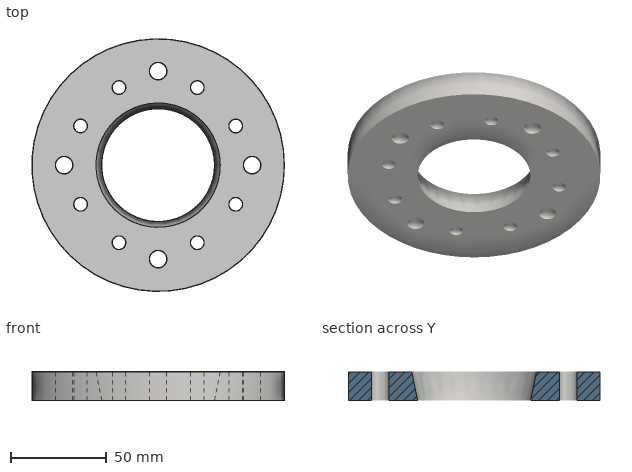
import cadquery as cq

outer_diameter = 132.0
thickness = 15.0

bore_top_diameter = 65.0
bore_bottom_diameter = 58.9

large_hole_diameter = 9.0
large_hole_circle = 98.2
large_hole_count = 4

small_hole_diameter = 7.0
small_hole_near = 20.5
small_hole_far = 40.5


def tapered_bore():
    """Cone frustum that cuts the central opening."""
    return (
        cq.Workplane("XY")
        .circle(bore_bottom_diameter / 2)
        .workplane(offset=thickness)
        .circle(bore_top_diameter / 2)
        .loft(ruled=True)
    )


def small_hole_points():
    """Centres of the small holes, mirrored across both axes and the diagonals."""
    points = []
    for x_sign in (-1, 1):
        for y_sign in (-1, 1):
            points.append((x_sign * small_hole_near, y_sign * small_hole_far))
            points.append((x_sign * small_hole_far, y_sign * small_hole_near))
    return points


plate = cq.Workplane("XY").circle(outer_diameter / 2).extrude(thickness)
plate = plate.cut(tapered_bore())

plate = (
    plate.faces(">Z").workplane(origin=(0, 0, thickness))
    .polarArray(large_hole_circle / 2, 0, 360, large_hole_count)
    .hole(large_hole_diameter)
)

result = (
    plate.faces(">Z").workplane(origin=(0, 0, thickness))
    .pushPoints(small_hole_points())
    .hole(small_hole_diameter)
)